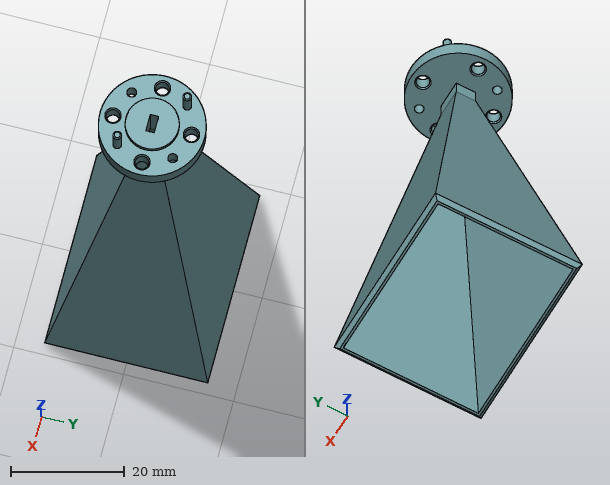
import cadquery as cq
import math

total_height = 80.3
guide_x = 3.1
guide_y = 1.5
wall = 1.2
aperture_x = 36.3
aperture_y = 29.7
lip_height = 1.0
lip_inset = 0.7
throat_z = 69.1

flange_bottom_z = 72.1
flange_top_z = 75.35
boss_top_z = 76.25
flange_diameter = 19.05
boss_diameter = 9.6

bolt_circle_radius = 7.15
screw_hole_diameter = 2.4
screw_hole_chamfer = 0.25
pin_hole_diameter = 1.7
pin_diameter = 1.5
pin_chamfer = 0.25

neck_x = guide_x + 2 * wall
neck_y = guide_y + 2 * wall


def box_between(size_x, size_y, bottom_z, top_z):
    return cq.Workplane("XY").workplane(offset=bottom_z).rect(size_x, size_y).extrude(top_z - bottom_z)


def disc_between(diameter, bottom_z, top_z):
    return cq.Workplane("XY").workplane(offset=bottom_z).circle(diameter / 2).extrude(top_z - bottom_z)


def taper_between(bottom_x, bottom_y, bottom_z, top_x, top_y, top_z):
    return (
        cq.Workplane("XY")
        .workplane(offset=bottom_z)
        .rect(bottom_x, bottom_y)
        .workplane(offset=top_z - bottom_z)
        .rect(top_x, top_y)
        .loft(ruled=True, combine=True)
    )


def on_bolt_circle(shape, angle_degrees):
    angle = math.radians(angle_degrees)
    x = bolt_circle_radius * math.cos(angle)
    y = bolt_circle_radius * math.sin(angle)
    return shape.translate((x, y, 0))


lip = taper_between(
    aperture_x - 2 * lip_inset, aperture_y - 2 * lip_inset, 0, aperture_x, aperture_y, lip_height
)
flare = taper_between(aperture_x, aperture_y, lip_height, neck_x, neck_y, throat_z)
neck = box_between(neck_x, neck_y, throat_z, flange_bottom_z)
flange = disc_between(flange_diameter, flange_bottom_z, flange_top_z)
boss = disc_between(boss_diameter, flange_top_z, boss_top_z)
body = lip.union(flare).union(neck).union(flange).union(boss)

guide = box_between(guide_x, guide_y, throat_z, boss_top_z)
cavity = taper_between(
    aperture_x - 2 * wall, aperture_y - 2 * wall, 0, guide_x, guide_y, throat_z
)
body = body.cut(cavity).cut(guide)

screw_hole = disc_between(screw_hole_diameter, flange_bottom_z, flange_top_z)
countersink = cq.Workplane("XY").add(
    cq.Solid.makeCone(
        screw_hole_diameter / 2 + screw_hole_chamfer,
        screw_hole_diameter / 2,
        screw_hole_chamfer,
    )
)
lower_countersink = countersink.translate((0, 0, flange_bottom_z))
upper_countersink = countersink.mirror("XY").translate((0, 0, flange_top_z))
screw_hole = screw_hole.union(lower_countersink).union(upper_countersink)
for angle in (0, 90, 180, 270):
    body = body.cut(on_bolt_circle(screw_hole, angle))

pin_hole = disc_between(pin_hole_diameter, flange_bottom_z, flange_top_z)
for angle in (45, 225):
    body = body.cut(on_bolt_circle(pin_hole, angle))

pin = disc_between(pin_diameter, flange_bottom_z, total_height).faces(">Z").chamfer(pin_chamfer)
for angle in (135, 315):
    body = body.union(on_bolt_circle(pin, angle))

result = body